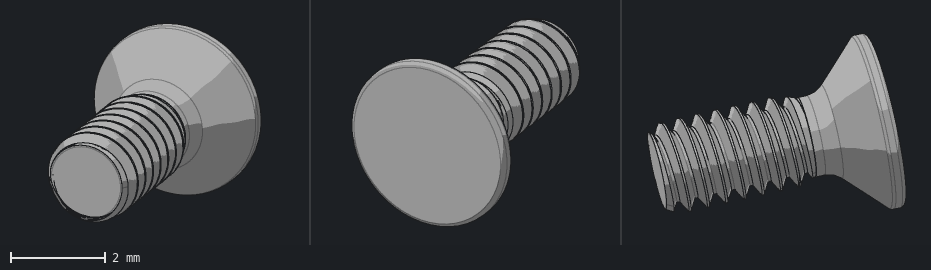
import cadquery as cq
import math

length = 5.0

head_radius = 1.9
rim_depth = 0.29
rim_fillet = 0.1
neck_fillet = 0.5

neck_radius = 0.87
neck_end = 1.725
root_radius = 0.755
crest_radius = 1.0
pitch = 0.4
crest_width = pitch / 8
first_crest = 1.73
flank_slope = math.tan(math.radians(30))

runout_radius = 0.86
runout_end = 2.125
tip_radius = 0.84
tip_dish_radius = 0.805
tip_dish_depth = 0.05
tip_chamfer_slope = math.tan(math.radians(30))

envelope_radius = 1.5
flank_steps = 8


def revolve_profile(points):
    """Revolve a closed (radius, depth) outline about the local Z axis."""
    return cq.Workplane("XZ").polyline(points).close().revolve(360, (0, 0), (0, 1))


def make_head_and_neck():
    """Head disc and 45 degree cone flowing into the neck, which tapers to the thread root."""
    cone_end = rim_depth + head_radius - neck_radius
    taper_end = neck_end + neck_radius - root_radius
    body = revolve_profile([
        (0, 0),
        (head_radius, 0),
        (head_radius, rim_depth),
        (neck_radius, cone_end),
        (neck_radius, neck_end),
        (root_radius, taper_end),
        (0, taper_end),
    ])

    def edge_at(depth, radius):
        margin = 0.005
        return cq.selectors.BoxSelector(
            (-radius - margin, -radius - margin, depth - margin),
            (radius + margin, radius + margin, depth + margin),
            boundingbox=True,
        )

    body = body.edges(edge_at(cone_end, neck_radius)).fillet(neck_fillet)
    body = body.edges(edge_at(rim_depth, head_radius)).fillet(rim_fillet)
    return body.edges(edge_at(0, head_radius)).fillet(rim_fillet)


def make_thread_envelope():
    """Run-out cone and tip chamfer cone, both carried out past the thread crest."""
    runout_slope = (crest_radius - runout_radius) / (runout_end - neck_end)
    runout_length = (envelope_radius - runout_radius) / runout_slope
    chamfer_length = (envelope_radius - tip_radius) / tip_chamfer_slope
    return revolve_profile([
        (0, neck_end),
        (runout_radius, neck_end),
        (envelope_radius, neck_end + runout_length),
        (envelope_radius, length - chamfer_length),
        (tip_radius, length),
        (0, length),
    ])


def make_threaded_rod():
    """Right-hand 60 degree thread: its cross-section twisted along the axis, then trimmed.

    Across the axis each straight flank is a spiral, because a step in angle
    is the same as a step along the pitch.
    """
    root_half_width = crest_width / 2 + (crest_radius - root_radius) * flank_slope
    crest_angle = math.pi * crest_width / pitch
    root_angle = 2 * math.pi * root_half_width / pitch

    def polar(radius, angle):
        return (radius * math.cos(angle), radius * math.sin(angle))

    def flank(side):
        def point(t):
            radius = root_radius + t * (crest_radius - root_radius)
            angle = root_angle + t * (crest_angle - root_angle)
            return polar(radius, side * angle)

        points = [point(i / flank_steps) for i in range(flank_steps + 1)]
        return cq.Edge.makeSpline([cq.Vector(*p) for p in points])

    def arc(radius, start, end):
        angles = (start, (start + end) / 2, end)
        return cq.Edge.makeThreePointArc(*[cq.Vector(*polar(radius, a)) for a in angles])

    section = cq.Wire.assembleEdges([
        flank(-1),
        arc(crest_radius, -crest_angle, crest_angle),
        flank(1),
        arc(root_radius, root_angle, 2 * math.pi - root_angle),
    ])
    rod_start = first_crest - pitch
    rod_length = length + pitch - rod_start
    rod = cq.Solid.extrudeLinearWithRotation(
        section,
        [],
        cq.Vector(0, 0, 0),
        cq.Vector(0, 0, rod_length),
        360 * rod_length / pitch,
    )
    rod = cq.Workplane(rod).translate((0, 0, rod_start))
    return rod.intersect(make_thread_envelope())


def make_tip_dish():
    """Shallow cone to remove from the tip face."""
    return revolve_profile([
        (0, length - tip_dish_depth),
        (tip_dish_radius, length),
        (0, length),
    ])


screw = make_threaded_rod().union(make_head_and_neck()).cut(make_tip_dish())

result = screw.rotate((0, 0, 0), (1, 0, 0), 90)